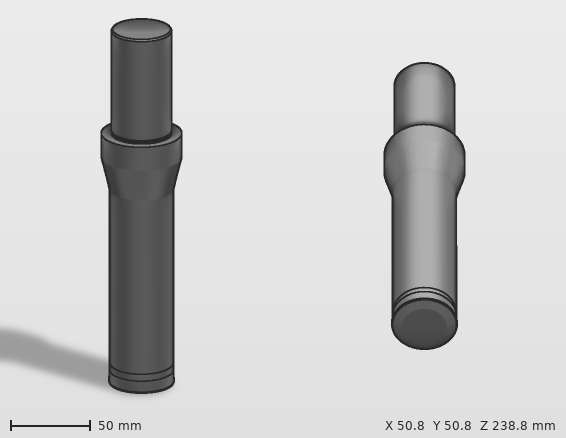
import cadquery as cq

total_length = 238.76
shank_length = 69.85
collar_length = 15.875
taper_length = 22.0
bottom_z = 0.0

shank_radius = 38.1 / 2
collar_radius = 50.8 / 2
body_radius = 20.15
head_radius = 41.275 / 2

chamfer_width = 0.8
chamfer_height = 1.3

relief_height = 2.0
relief_ramp = 0.9
relief_depth = 0.6
relief_face_depth = 0.3
relief_face_width = 0.7

taper_sag = 0.15
taper_blend_radius = 3.0

socket_top_height = 14.2
body_end_height = 9.7
flare_line_height = 8.3
flare_line_growth = 0.12

rim_top_height = 2.5
rim_inset = 0.5
rim_bottom_height = 1.6
end_flat_radius = 14.0

top_z = bottom_z + total_length
collar_top_z = top_z - shank_length
collar_bottom_z = collar_top_z - collar_length
taper_bottom_z = collar_bottom_z - taper_length
relief_top_z = collar_top_z + relief_height

socket_top_z = bottom_z + socket_top_height
body_end_z = bottom_z + body_end_height
flare_line_z = bottom_z + flare_line_height
rim_top_z = bottom_z + rim_top_height
rim_bottom_z = bottom_z + rim_bottom_height

flare_line_radius = body_radius + flare_line_growth
socket_slope = flare_line_growth / (body_end_z - flare_line_z)
socket_radius = body_radius - socket_slope * (socket_top_z - body_end_z)

relief_radius = shank_radius - relief_depth
taper_mid_radius = (collar_radius + body_radius) / 2 - taper_sag
taper_mid_z = (collar_bottom_z + taper_bottom_z) / 2


def turn(profile):
    """Revolve a closed half profile about the Z axis."""
    return profile.revolve(360, (0, 0, 0), (0, 1, 0))


def make_holder():
    """Shank, collar, waisted taper and long body, with the conical socket in its lower end."""
    holder = turn(
        cq.Workplane("XZ")
        .moveTo(0, socket_top_z)
        .lineTo(socket_radius, socket_top_z)
        .lineTo(body_radius, body_end_z)
        .lineTo(body_radius, taper_bottom_z)
        .threePointArc((taper_mid_radius, taper_mid_z), (collar_radius, collar_bottom_z))
        .lineTo(collar_radius, collar_top_z)
        .lineTo(shank_radius + relief_face_width, collar_top_z)
        .lineTo(relief_radius + relief_face_depth, collar_top_z - relief_face_depth)
        .lineTo(relief_radius, collar_top_z)
        .lineTo(relief_radius, relief_top_z - relief_ramp)
        .lineTo(shank_radius, relief_top_z)
        .lineTo(shank_radius, top_z - chamfer_height)
        .lineTo(shank_radius - chamfer_width, top_z)
        .lineTo(0, top_z)
        .close()
    )
    taper_foot = cq.selectors.NearestToPointSelector((0, 0, taper_bottom_z))
    return holder.edges("%CIRCLE").edges(taper_foot).fillet(taper_blend_radius)


def make_cutting_head():
    """Flared end piece, seated in the body, with a bevelled rim and a shallow conical face."""
    return turn(
        cq.Workplane("XZ")
        .moveTo(0, bottom_z)
        .lineTo(end_flat_radius, bottom_z)
        .lineTo(head_radius - rim_inset, rim_bottom_z)
        .lineTo(head_radius, rim_top_z)
        .lineTo(flare_line_radius, flare_line_z)
        .lineTo(socket_radius, socket_top_z)
        .lineTo(0, socket_top_z)
        .close()
    )


holder = make_holder()
cutting_head = make_cutting_head()
result = cq.Compound.makeCompound([holder.val(), cutting_head.val()])